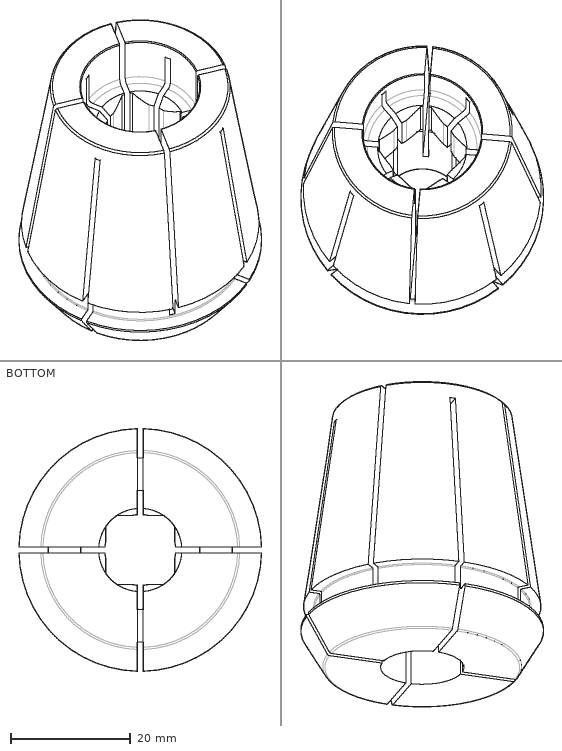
import cadquery as cq
import math

height = 46.0
collar_radius = 20.4

collar_cone_angle = 30.0
collar_land_bottom = 6.6
collar_top = 7.0
bottom_edge_fillet = 0.4

groove_top = 11.15
groove_radius = 18.1
groove_root_fillet = 0.2

taper_angle = 8.0
taper_large_radius = 19.95
top_edge_chamfer = 0.3

counterbore_radius = 10.0
counterbore_depth = 9.75
counterbore_root_fillet = 0.8
mouth_chamfer = 0.2
countersink_radius = 7.5
countersink_angle = 45.0
square_width = 11.55
square_corner_radius = 7.3
square_length = 13.8
pilot_radius = 5.95
shank_radius = 7.0

slit_width = 0.95
lower_slit_top = 43.05
upper_slit_floor = 7.55

selection_margin = 0.05

bottom_radius = collar_radius - collar_land_bottom * math.tan(math.radians(collar_cone_angle))
taper_top_radius = taper_large_radius - (height - groove_top) * math.tan(math.radians(taper_angle))
counterbore_floor = height - counterbore_depth
square_bottom = counterbore_floor - square_length
countersink_depth = countersink_radius / math.tan(math.radians(countersink_angle))


def at_height(z):
    return cq.Workplane("XY").workplane(offset=z)


def circle_edges_at(body, radius, z):
    """Circular edges at height z, no larger than the given radius."""
    reach = radius + selection_margin
    low_corner = (-reach, -reach, z - selection_margin)
    high_corner = (reach, reach, z + selection_margin)
    return body.edges(cq.selectors.BoxSelector(low_corner, high_corner, boundingbox=True))


def outer_body():
    """Collar, groove and taper, revolved from a half profile (radius, z)."""
    profile = [
        (0, 0),
        (bottom_radius, 0),
        (collar_radius, collar_land_bottom),
        (collar_radius, collar_top),
        (groove_radius, collar_top),
        (groove_radius, groove_top),
        (taper_large_radius, groove_top),
        (taper_top_radius, height),
        (0, height),
    ]
    body = cq.Workplane("XZ").polyline(profile).close().revolve(360, (0, 0), (0, 1))
    body = body.faces("<Z").edges().fillet(bottom_edge_fillet)
    body = body.faces(">Z").edges().chamfer(top_edge_chamfer)
    body = circle_edges_at(body, groove_radius, collar_top).fillet(groove_root_fillet)
    return circle_edges_at(body, groove_radius, groove_top).fillet(groove_root_fillet)


def counterbore():
    """Round pocket in the top face with a filleted floor and a chamfered mouth."""
    pocket = at_height(counterbore_floor).circle(counterbore_radius).extrude(counterbore_depth)
    pocket = pocket.faces("<Z").edges().fillet(counterbore_root_fillet)
    mouth = cq.Solid.makeCone(
        counterbore_radius, counterbore_radius + mouth_chamfer, mouth_chamfer,
        pnt=cq.Vector(0, 0, height - mouth_chamfer),
    )
    return pocket.union(cq.Workplane(mouth))


def square_hole():
    """Square drive section: a pilot bore broached square, its corners cut by a coaxial circle."""
    square = at_height(square_bottom).rect(square_width, square_width).extrude(square_length)
    corner_limit = at_height(square_bottom).circle(square_corner_radius).extrude(square_length)
    pilot = at_height(square_bottom).circle(pilot_radius).extrude(square_length)
    return square.intersect(corner_limit).union(pilot)


def shank_bore():
    """Round clamping bore from the bottom face up to the square section."""
    return at_height(0).circle(shank_radius).extrude(square_bottom)


def countersink():
    """Conical lead-in from the counterbore floor to the square hole."""
    cone = cq.Solid.makeCone(
        0, countersink_radius, countersink_depth,
        pnt=cq.Vector(0, 0, counterbore_floor - countersink_depth),
    )
    return cq.Workplane(cone)


def slit_cross(bottom, top, angle):
    """Two crossing slits spanning the whole diameter between two heights."""
    length = 2 * collar_radius + slit_width
    cross = at_height(bottom).rect(length, slit_width).extrude(top - bottom)
    cross = cross.union(at_height(bottom).rect(slit_width, length).extrude(top - bottom))
    return cross.rotate((0, 0, 0), (0, 0, 1), angle)


lower_slits = slit_cross(0, lower_slit_top, 0)
upper_slits = slit_cross(upper_slit_floor, height, 45)

result = outer_body()
for cutter in (counterbore(), square_hole(), shank_bore(), countersink(), lower_slits, upper_slits):
    result = result.cut(cutter)